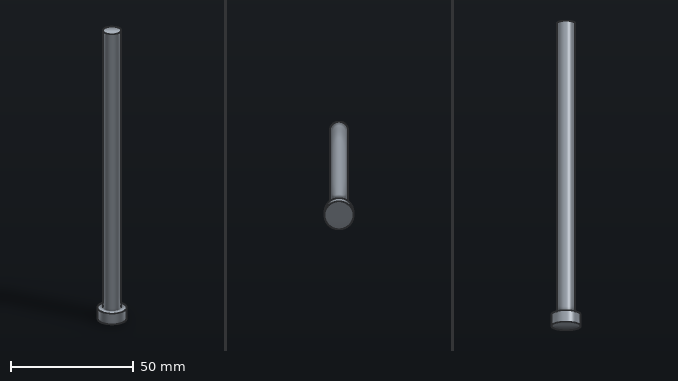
import cadquery as cq

total_length = 130.0
head_radius = 12.0 / 2
head_height = 5.0
shaft_radius = 7.5 / 2
root_fillet = 0.2

half_profile = (
    cq.Workplane("XZ")
    .lineTo(head_radius, 0)
    .lineTo(head_radius, head_height)
    .lineTo(shaft_radius + root_fillet, head_height)
    .radiusArc((shaft_radius, head_height + root_fillet), root_fillet)
    .lineTo(shaft_radius, total_length)
    .lineTo(0, total_length)
    .close()
)

result = half_profile.revolve(360, (0, 0, 0), (0, 1, 0))